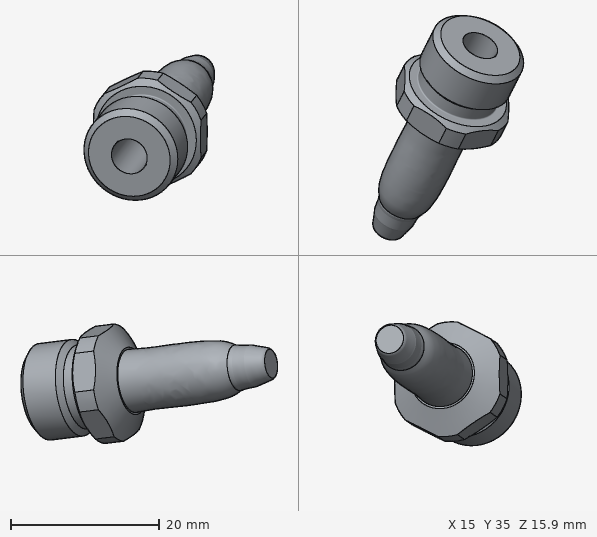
import cadquery as cq
import math

TOTAL_LENGTH = 35.0

BORE_DIAMETER = 5.0
THREAD_DIAMETER = 13.15
NECK_DIAMETER = 11.45
THREAD_CHAMFER = (THREAD_DIAMETER - NECK_DIAMETER) / 2
THREAD_CHAMFER_LENGTH = 0.77
NECK_START = 6.45
NECK_ROOT_FILLET = 0.18

HEX_ACROSS_FLATS = 15.0
HEX_CORNER_DIAMETER = 15.95
COLLAR_START = 8.45
COLLAR_FACE_DIAMETER = 14.07
FRONT_BEVEL_LENGTH = 0.65
REAR_CONE_START = 11.95
COLLAR_END = 13.95
REAR_CONE_END_DIAMETER = 9.17

BARREL_BASE_RADIUS = 4.3
BARREL_MIDDLE = (4.25, 21.0)
BARREL_UPPER = (4.1, 26.32)
BARREL_NOSE = (3.92, 27.75)
BARREL_END = 29.9
SHOULDER_DIAMETER = 6.2
SHOULDER_LENGTH = 0.28
TIP_BASE_DIAMETER = 6.0
TIP_BASE = 30.62
TIP_BREAK_START = 32.35
TIP_BREAK_START_DIAMETER = 5.7
TIP_BREAK_END = 32.55
TIP_BREAK_END_DIAMETER = 5.55
TIP_ROUND_START = 34.55
TIP_ROUND_START_DIAMETER = 4.5
TIP_END_DIAMETER = 3.92


def revolve_about_y(profile):
    """Turn a closed (radius, Y) profile all the way round the Y axis."""
    return profile.revolve(360, (0, 0, 0), (0, 1, 0))


def make_hex_prism():
    """Hexagonal prism over the collar length, with two flats facing +X and -X."""
    across_corners = HEX_ACROSS_FLATS / math.cos(math.pi / 6)
    return (
        cq.Workplane("XZ", origin=(0, COLLAR_START, 0))
        .transformed(rotate=(0, 0, 30))
        .polygon(6, across_corners)
        .extrude(COLLAR_START - COLLAR_END)
    )


def make_collar():
    """Hexagon trimmed by a bevelled disc, which rounds its corners."""
    disc = revolve_about_y(
        cq.Workplane("XY")
        .moveTo(0, COLLAR_START)
        .lineTo(COLLAR_FACE_DIAMETER / 2, COLLAR_START)
        .lineTo(HEX_CORNER_DIAMETER / 2, COLLAR_START + FRONT_BEVEL_LENGTH)
        .lineTo(HEX_CORNER_DIAMETER / 2, REAR_CONE_START)
        .lineTo(REAR_CONE_END_DIAMETER / 2, COLLAR_END)
        .lineTo(0, COLLAR_END)
        .close()
    )
    return disc.intersect(make_hex_prism())


def make_threaded_stub():
    """Chamfered thread cylinder and its narrower neck, flared into the collar face."""
    thread_radius = THREAD_DIAMETER / 2
    neck_radius = NECK_DIAMETER / 2
    fillet_start = COLLAR_START - NECK_ROOT_FILLET
    fillet_offset = NECK_ROOT_FILLET * math.sqrt(0.5)
    fillet_middle = (
        neck_radius + NECK_ROOT_FILLET - fillet_offset,
        fillet_start + fillet_offset,
    )
    return revolve_about_y(
        cq.Workplane("XY")
        .moveTo(0, 0)
        .lineTo(thread_radius - THREAD_CHAMFER, 0)
        .lineTo(thread_radius, THREAD_CHAMFER_LENGTH)
        .lineTo(thread_radius, NECK_START - THREAD_CHAMFER_LENGTH)
        .lineTo(neck_radius, NECK_START)
        .lineTo(neck_radius, fillet_start)
        .threePointArc(fillet_middle, (neck_radius + NECK_ROOT_FILLET, COLLAR_START))
        .lineTo(0, COLLAR_START)
        .close()
    )


def make_fitting():
    """Threaded stub and hexagon collar, bored through; the nozzle closes the bore."""
    bore = cq.Workplane("XZ").circle(BORE_DIAMETER / 2).extrude(-COLLAR_END)
    return make_threaded_stub().union(make_collar()).cut(bore)


def make_nozzle():
    """Solid nozzle standing on the rear face of the collar."""
    shoulder_radius = SHOULDER_DIAMETER / 2
    barrel_points = [BARREL_MIDDLE, BARREL_UPPER, BARREL_NOSE, (shoulder_radius, BARREL_END)]
    return revolve_about_y(
        cq.Workplane("XY")
        .moveTo(0, COLLAR_END)
        .lineTo(BARREL_BASE_RADIUS, COLLAR_END)
        .spline(barrel_points, includeCurrent=True)
        .lineTo(shoulder_radius, BARREL_END + SHOULDER_LENGTH)
        .lineTo(TIP_BASE_DIAMETER / 2, TIP_BASE)
        .lineTo(TIP_BREAK_START_DIAMETER / 2, TIP_BREAK_START)
        .lineTo(TIP_BREAK_END_DIAMETER / 2, TIP_BREAK_END)
        .lineTo(TIP_ROUND_START_DIAMETER / 2, TIP_ROUND_START)
        .tangentArcPoint((TIP_END_DIAMETER / 2, TOTAL_LENGTH), relative=False)
        .lineTo(0, TOTAL_LENGTH)
        .close()
    )


fitting = make_fitting()
nozzle = make_nozzle()

result = cq.Compound.makeCompound([fitting.solids().val(), nozzle.val()])